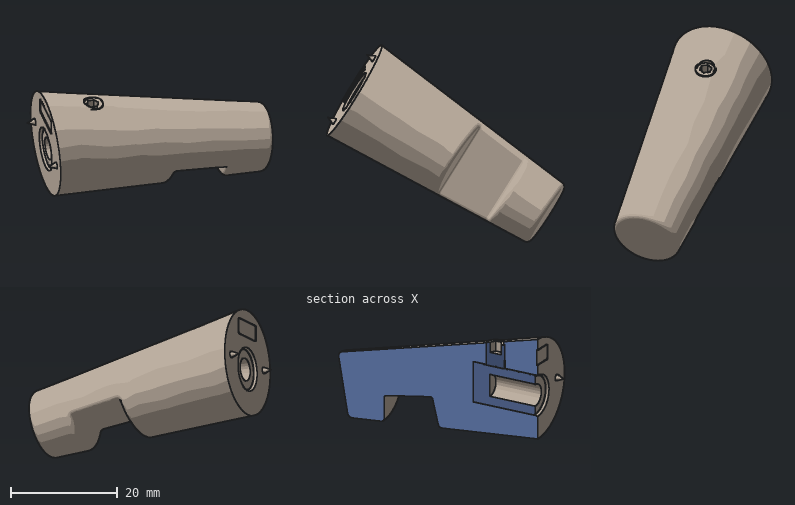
import cadquery as cq
import math

TILT = 10.0
HALF_ANGLE = 4.5
AXIS_RADIUS = 9.9
AXIS_Z = -0.15
AXIS_LENGTH = 43.1
BASE_OVERRUN = 4.5
TIP_ROUND = 1.0

NOTCH_TIP_Y = 33.38
NOTCH_FLOOR_DROP = 1.98
NOTCH_BASE_Y = 23.05
NOTCH_WALL_LEAN = 14.0
NOTCH_CORNER = 0.45
NOTCH_ROUND = 0.8
NOTCH_BOTTOM = -20.2

SPIKE_X = 7.0
SPIKE_RADIUS = 0.65
SPIKE_LENGTH = 1.53

PANEL_WIDTH = 7.5
PANEL_HEIGHT = 3.0
PANEL_Z = 6.35
PANEL_CORNER = 0.4
PANEL_DEPTH = 0.2

INSERT_Z = -1.3
INSERT_RADIUS = 4.0
INSERT_CHAMFER = 0.22
INSERT_LENGTH = 13.48
INSERT_RECESS = 0.5
INSERT_HOLE_RADIUS = 2.15
INSERT_HOLE_DEPTH = 9.9
SOCKET_MOUTH_FLARE = 0.15

SCREW_Y = 9.15
SCREW_RADIUS = 1.98
SCREW_TOP = 7.4
SCREW_HOLE_RADIUS = 1.65
HEX_FLATS = 2.0
HEX_DEPTH = 2.0
HEX_TURN = 90.0

tilt = math.radians(TILT)
taper = math.tan(math.radians(HALF_ANGLE))
screw_tip = INSERT_Z + INSERT_RADIUS
clear = 2 * AXIS_RADIUS


def base_plane(y, z):
    """Plane facing +Y with its origin on the X = 0 plane."""
    return cq.Plane(origin=(0, y, z), xDir=(1, 0, 0), normal=(0, 1, 0))


def tapered_body():
    """Tilted cone with a rounded tip, trimmed by the base plane."""
    start_radius = AXIS_RADIUS + BASE_OVERRUN * taper
    tip_radius = AXIS_RADIUS - AXIS_LENGTH * taper
    axis = cq.Vector(0, math.cos(tilt), -math.sin(tilt))
    start = cq.Vector(0, 0, AXIS_Z) - axis * BASE_OVERRUN
    cone = cq.Solid.makeCone(start_radius, tip_radius, BASE_OVERRUN + AXIS_LENGTH, start, axis)
    tip_edge = cq.Workplane(obj=cone).faces(">Y").edges()
    rounded = cq.Workplane(obj=cone.fillet(TIP_ROUND, tip_edge.vals()))
    behind_base = cq.Workplane("XY").box(2 * clear, clear, 2 * clear).translate((0, -clear / 2, 0))
    return rounded.cut(behind_base)


def notch_floor_z(y):
    """The notch floor runs parallel to the cone axis."""
    return AXIS_Z - NOTCH_FLOOR_DROP - y * math.tan(tilt)


def notch_cutter():
    """Prism along X that leaves the notch floor and its two end walls."""
    floor_z = notch_floor_z(NOTCH_BASE_Y)
    lean_shift = (floor_z - NOTCH_BOTTOM) * math.tan(math.radians(NOTCH_WALL_LEAN))
    outline = [
        (NOTCH_TIP_Y, NOTCH_BOTTOM),
        (NOTCH_TIP_Y, notch_floor_z(NOTCH_TIP_Y)),
        (NOTCH_BASE_Y, floor_z),
        (NOTCH_BASE_Y - lean_shift, NOTCH_BOTTOM),
    ]
    prism = cq.Workplane("YZ").polyline(outline).close().extrude(clear, both=True)
    floor_corners = prism.edges("|X").edges(">Z or >>Z[-2]")
    return floor_corners.fillet(NOTCH_CORNER)


def notched_body():
    """Tapered body with the notch cut and its outer rim rounded."""
    notched = tapered_body().cut(notch_cutter())
    wall_foot_y = NOTCH_BASE_Y - AXIS_RADIUS * math.tan(math.radians(NOTCH_WALL_LEAN))
    around_notch = cq.selectors.BoxSelector(
        (-clear, wall_foot_y, NOTCH_BOTTOM), (clear, NOTCH_TIP_Y + NOTCH_ROUND, 0)
    )
    rim = notched.edges(around_notch).edges("not %LINE")
    return notched.newObject(rim.vals()).fillet(NOTCH_ROUND)


def make_spike(x):
    """Cone pointing out of the base face, part of the handle."""
    return cq.Workplane(obj=cq.Solid.makeCone(
        SPIKE_RADIUS, 0, SPIKE_LENGTH, cq.Vector(x, 0, 0), cq.Vector(0, -1, 0)
    ))


def panel_cutter():
    """Rounded rectangle sunk into the base face."""
    panel = cq.Workplane(base_plane(0, PANEL_Z)).rect(PANEL_WIDTH, PANEL_HEIGHT).extrude(PANEL_DEPTH)
    return panel.edges("|Y").fillet(PANEL_CORNER)


def insert_socket_cutter():
    """Blind socket for the insert, with a flared mouth."""
    socket = cq.Workplane(base_plane(0, INSERT_Z)).circle(INSERT_RADIUS)
    socket = socket.extrude(INSERT_RECESS + INSERT_LENGTH)
    mouth = cq.Workplane(obj=cq.Solid.makeCone(
        INSERT_RADIUS + SOCKET_MOUTH_FLARE, INSERT_RADIUS, INSERT_RECESS,
        cq.Vector(0, 0, INSERT_Z), cq.Vector(0, 1, 0)
    ))
    return socket.union(mouth)


def upright_cylinder(radius, bottom, top):
    """Cylinder on the set screw's axis."""
    axis_plane = cq.Workplane("XY", origin=(0, SCREW_Y, bottom))
    return axis_plane.circle(radius).extrude(top - bottom)


def make_handle():
    """Notched body with its spikes, label panel, insert socket and set screw hole."""
    handle = notched_body()
    for x in (-SPIKE_X, SPIKE_X):
        handle = handle.union(make_spike(x))
    handle = handle.cut(panel_cutter())
    handle = handle.cut(insert_socket_cutter())
    handle = handle.cut(upright_cylinder(SCREW_RADIUS, screw_tip, SCREW_TOP))
    return handle.cut(upright_cylinder(SCREW_HOLE_RADIUS, INSERT_Z, clear))


def make_insert():
    """Round plug with a chamfered outer end and a blind hole, set below the base face."""
    outer_end = base_plane(INSERT_RECESS, INSERT_Z)
    insert = cq.Workplane(outer_end).circle(INSERT_RADIUS).extrude(INSERT_LENGTH)
    insert = insert.faces("<Y").chamfer(INSERT_CHAMFER)
    hole = cq.Workplane(outer_end).circle(INSERT_HOLE_RADIUS)
    return insert.cut(hole.extrude(INSERT_HOLE_DEPTH))


def make_set_screw():
    """Headless screw with a hexagon socket whose corners point along Y."""
    screw = upright_cylinder(SCREW_RADIUS, screw_tip, SCREW_TOP)
    hex_corners = HEX_FLATS / math.cos(math.pi / 6)
    socket = cq.Workplane("XY", origin=(0, SCREW_Y, SCREW_TOP - HEX_DEPTH)).polygon(6, hex_corners)
    socket = socket.extrude(HEX_DEPTH).rotate((0, SCREW_Y, 0), (0, SCREW_Y, 1), HEX_TURN)
    return screw.cut(socket)


handle = make_handle()
insert = make_insert()
set_screw = make_set_screw()
result = cq.Compound.makeCompound([body.solids().val() for body in (handle, insert, set_screw)])